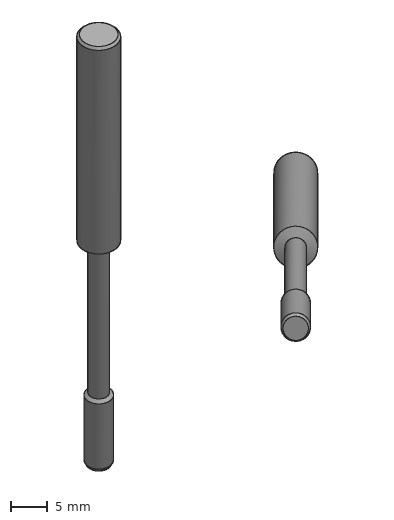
import cadquery as cq

total_length = 75.0
shank_radius = 3.0
shank_length = 36.0
shank_chamfer_height = 0.4
shank_chamfer_inset = 0.4
taper_height = 0.45
neck_radius = 1.5
tip_radius = 2.0
tip_chamfer_height = 0.6
tip_chamfer_inset = 0.3
tip_length = 12.45
tip_taper_height = 0.45

shank_bottom = total_length - shank_length
taper_bottom = shank_bottom - taper_height
shoulder_height = tip_length - tip_taper_height


def make_holder():
    """Shank with a chamfered top, tapering sharply into the slender neck."""
    return (
        cq.Workplane("XZ")
        .moveTo(0, tip_length)
        .lineTo(neck_radius, tip_length)
        .lineTo(neck_radius, taper_bottom)
        .lineTo(shank_radius, shank_bottom)
        .lineTo(shank_radius, total_length - shank_chamfer_height)
        .lineTo(shank_radius - shank_chamfer_inset, total_length)
        .lineTo(0, total_length)
        .close()
        .revolve(360, (0, 0, 0), (0, 1, 0))
    )


def make_tip():
    """Thicker tip with a chamfered lower end and a short taper up to the neck."""
    return (
        cq.Workplane("XZ")
        .lineTo(tip_radius - tip_chamfer_inset, 0)
        .lineTo(tip_radius, tip_chamfer_height)
        .lineTo(tip_radius, shoulder_height)
        .lineTo(neck_radius, tip_length)
        .lineTo(0, tip_length)
        .close()
        .revolve(360, (0, 0, 0), (0, 1, 0))
    )


holder = make_holder()
tip = make_tip()

result = cq.Compound.makeCompound([holder.val(), tip.val()])